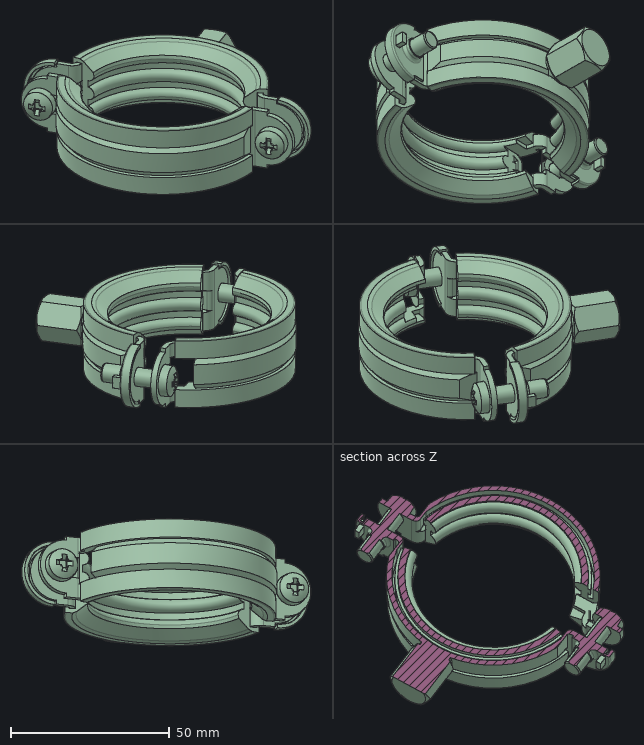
import cadquery as cq
import math


lining_half_width = 11.4
lining_outer_r = 33.5
lining_mouth_r = 29.6
lining_wall_r = 27.9
inner_bead_r = 2.2
inner_bead_pitch = 6.7
end_angle = 12.0
outer_chamfer_r = 0.5
outer_chamfer_z = 0.1
mouth_bevel_r = 1.3
mouth_bevel_z = 0.6
inner_crest_r = lining_wall_r - inner_bead_r
flank_foot_r = 26.0
flank_foot_z = 7.9
groove_half_width = 5.3
tongue_half_width = 1.4
tongue_height = 1.0

band_inner_r = 30.2
band_thickness = 1.9
band_outer_r = band_inner_r + band_thickness
band_half_width = 10.0
bead_outer_r = 33.8
bead_half_crest = 3.4
bead_end_x = 31.7
bead_root_r = band_outer_r - band_thickness / 2
flank_slope = (groove_half_width - bead_half_crest) / (bead_outer_r - band_outer_r)
bead_root_half = bead_half_crest + flank_slope * (bead_outer_r - bead_root_r)
channel_mouth_r = 28.3
channel_mouth_half = 4.8
channel_floor_r = bead_outer_r - band_thickness
channel_floor_half = 2.9
channel_end_x = 30.75
bend_channel_half = 3.4
bend_channel_r = 1.8

lug_gap_y = 3.45
lug_outer_y = lug_gap_y + band_thickness
bend_start_x = 33.05
band_end_angle = 11.5
lug_round_x = 37.0
lug_round_r = 8.7
lug_tip_x = lug_round_x + lug_round_r

window_edge_x = 32.6
window_end_y = 12.6
slot_half_width = 3.4
lining_window_half = 6.7
lining_window_end_y = 8.6

screw_x = 39.0
shank_d = 6.0
tip_d = 5.5
tip_y = 14.8
tip_chamfer_y = 0.5
head_d = 10.2
head_shoulder_d = 9.8
head_shoulder_y = 8.1
head_top_y = 9.8
recess_span = 6.9
recess_arm = 1.6
recess_core = 2.5
recess_arm_depth = 1.7
recess_core_depth = 2.4

clip_outer_x = 47.9
clip_r = 10.3
clip_x = clip_outer_x - clip_r
clip_rim = 1.15
clip_edge_r = 0.5
clip_top_y = 6.1
clip_bottom_y = 3.0
clip_plate_end_x = 33.5
clip_plate_half_width = 9.0
collar_d = 6.8
collar_flare_d = 9.3
collar_flare_y = 7.1
collar_top_y = 8.2
post_x_in = 44.5
post_x_out = 46.3
post_half_width = 1.9
post_root_half_width = 2.2
post_root_y = 4.4
post_top_y = 9.1

nut_sides = 6
nut_flats = 13.3
nut_corner_r = nut_flats / 2 / math.cos(math.pi / nut_sides)
nut_bottom_y = 34.2
nut_top_y = 49.2
nut_chamfer_y = 1.0
nut_end_r = 6.3
neck_r = 6.0

cut_size = 191.6
overlap = 1.0


def block(x0, x1, y0, y1, half_z):
    """Box between two X and two Y limits, centred on z = 0."""
    return (
        cq.Workplane("XY")
        .box(x1 - x0, y1 - y0, 2 * half_z)
        .translate(((x0 + x1) / 2, (y0 + y1) / 2, 0))
    )


def revolve_ring(outline):
    """Full turn about Z of an outline drawn with x as radius and y as height."""
    return outline.close().revolve(360, (0, 0, 0), (0, 1, 0))


def trapezoid_ring(inner_r, inner_half, outer_r, outer_half):
    return revolve_ring(
        cq.Workplane("XZ").polyline(
            [(inner_r, -inner_half), (outer_r, -outer_half), (outer_r, outer_half), (inner_r, inner_half)]
        )
    )


def on_circle(radius, angle):
    return radius * math.cos(math.radians(angle)), radius * math.sin(math.radians(angle))


def turn_about_y(outline, x):
    """Full turn about the line parallel to Y at the given x."""
    return outline.close().revolve(360, (0, 0, 0), (0, 1, 0)).translate((x, 0, 0))


def half_lining():
    """Upper half of the rubber lining, with three round beads inside and lips around the band."""
    half = lining_half_width
    bead_foot_z = inner_bead_pitch - inner_bead_r
    quarter = inner_bead_r * math.sqrt(0.5)
    shell = revolve_ring(
        cq.Workplane("XZ")
        .moveTo(inner_crest_r, -inner_bead_pitch)
        .threePointArc(
            (lining_wall_r - quarter, quarter - inner_bead_pitch), (lining_wall_r, -bead_foot_z)
        )
        .lineTo(lining_wall_r, -inner_bead_r)
        .threePointArc((inner_crest_r, 0), (lining_wall_r, inner_bead_r))
        .lineTo(lining_wall_r, bead_foot_z)
        .threePointArc(
            (lining_wall_r - quarter, inner_bead_pitch - quarter), (inner_crest_r, inner_bead_pitch)
        )
        .lineTo(flank_foot_r, flank_foot_z)
        .lineTo(lining_mouth_r, half - mouth_bevel_z)
        .lineTo(lining_mouth_r + mouth_bevel_r, half)
        .lineTo(lining_outer_r - outer_chamfer_r, half)
        .lineTo(lining_outer_r, half - outer_chamfer_z)
        .lineTo(lining_outer_r, outer_chamfer_z - half)
        .lineTo(lining_outer_r - outer_chamfer_r, -half)
        .lineTo(lining_mouth_r + mouth_bevel_r, -half)
        .lineTo(lining_mouth_r, mouth_bevel_z - half)
        .lineTo(flank_foot_r, -flank_foot_z)
    )
    groove = trapezoid_ring(band_inner_r, groove_half_width, lining_outer_r + overlap, groove_half_width)
    band_seat = trapezoid_ring(band_inner_r, band_half_width, band_outer_r, band_half_width)
    tongue = trapezoid_ring(
        band_inner_r - overlap, tongue_half_width, band_inner_r + tongue_height, tongue_half_width
    )
    ring = shell.cut(groove).cut(band_seat).union(tongue)
    far = on_circle(cut_size, end_angle)
    sector = (
        cq.Workplane("XY")
        .polyline([(0, 0), far, (far[0], cut_size), (-far[0], cut_size), (-far[0], far[1])])
        .close()
        .extrude(lining_half_width + overlap, both=True)
    )
    return ring.intersect(sector)


def bend_middle(start_x, start_y, end_x, end_y):
    """Middle point of the arc that leaves the lug along X and reaches the end of the ring."""
    run = start_x - end_x
    rise = end_y - start_y
    radius = (run ** 2 + rise ** 2) / (2 * rise)
    half_turn = math.atan2(rise, run)
    return start_x - radius * math.sin(half_turn), start_y + radius * (1 - math.cos(half_turn))


def bend_channel(side):
    """Tool that carries the hollow of the bead round the bend and out to the inner lug face."""
    sweep = bend_channel_r * math.sqrt(0.5)
    return (
        cq.Workplane("XY")
        .moveTo(side * (channel_end_x + bend_channel_r), lug_gap_y)
        .threePointArc(
            (side * (channel_end_x + bend_channel_r - sweep), lug_gap_y + bend_channel_r - sweep),
            (side * channel_end_x, lug_gap_y + bend_channel_r),
        )
        .lineTo(side * channel_mouth_r, lug_gap_y + bend_channel_r)
        .lineTo(side * channel_mouth_r, lug_gap_y)
        .close()
        .extrude(bend_channel_half, both=True)
    )


def half_band():
    """Upper half of the steel band: arc, bends and lugs, with the raised bead pressed outwards."""
    in_x, in_y = on_circle(band_inner_r, band_end_angle)
    out_x, out_y = on_circle(band_outer_r, band_end_angle)
    in_mid_x, in_mid_y = bend_middle(bend_start_x, lug_gap_y, in_x, in_y)
    out_mid_x, out_mid_y = bend_middle(bend_start_x, lug_outer_y, out_x, out_y)
    strip = (
        cq.Workplane("XY")
        .moveTo(-lug_tip_x, lug_gap_y)
        .lineTo(-bend_start_x, lug_gap_y)
        .threePointArc((-in_mid_x, in_mid_y), (-in_x, in_y))
        .threePointArc((0, band_inner_r), (in_x, in_y))
        .threePointArc((in_mid_x, in_mid_y), (bend_start_x, lug_gap_y))
        .lineTo(lug_tip_x, lug_gap_y)
        .lineTo(lug_tip_x, lug_outer_y)
        .lineTo(bend_start_x, lug_outer_y)
        .threePointArc((out_mid_x, out_mid_y), (out_x, out_y))
        .threePointArc((0, band_outer_r), (-out_x, out_y))
        .threePointArc((-out_mid_x, out_mid_y), (-bend_start_x, lug_outer_y))
        .lineTo(-lug_tip_x, lug_outer_y)
        .close()
        .extrude(band_half_width, both=True)
    )
    plan = block(-lug_round_x, lug_round_x, 0, cut_size, band_half_width)
    for side in (-1, 1):
        plan = plan.union(
            cq.Workplane("XZ").center(side * lug_round_x, 0).circle(lug_round_r).extrude(-cut_size)
        )
    strip = strip.intersect(plan)

    bead = trapezoid_ring(bead_root_r, bead_root_half, bead_outer_r, bead_half_crest)
    bead = bead.intersect(block(-bead_end_x, bead_end_x, lug_gap_y + overlap, cut_size, band_half_width))
    channel = trapezoid_ring(channel_mouth_r, channel_mouth_half, channel_floor_r, channel_floor_half)
    channel = channel.intersect(block(-channel_end_x, channel_end_x, 0, cut_size, groove_half_width))
    return strip.union(bead).cut(channel).cut(bend_channel(-1)).cut(bend_channel(1))


def screw_release():
    """Opening at the left end of the lower half: a window in the ring and a slot in the lug."""
    window = block(-window_edge_x, 0, -window_end_y, 0, groove_half_width)
    slot = block(-screw_x, -window_edge_x, -lug_outer_y, 0, slot_half_width)
    lining_window = block(-window_edge_x, 0, -lining_window_end_y, 0, lining_window_half)
    bore = cq.Workplane("XY").circle(band_inner_r).extrude(lining_window_half, both=True)
    return window.union(slot).union(lining_window.intersect(bore))


def screw(x):
    """Pan-head screw along Y with a cross recess in its head."""
    dome_r = head_shoulder_d / 2
    dome_rise = head_top_y - head_shoulder_y
    sphere_r = (dome_r ** 2 + dome_rise ** 2) / (2 * dome_rise)
    dome_mid_r = dome_r / 2
    dome_mid_y = head_top_y - sphere_r + math.sqrt(sphere_r ** 2 - dome_mid_r ** 2)
    body = turn_about_y(
        cq.Workplane("XY")
        .moveTo(0, tip_y)
        .lineTo(tip_d / 2, tip_y)
        .lineTo(shank_d / 2, tip_y - tip_chamfer_y)
        .lineTo(shank_d / 2, -lug_outer_y)
        .lineTo(head_d / 2, -lug_outer_y)
        .lineTo(dome_r, -head_shoulder_y)
        .threePointArc((dome_mid_r, -dome_mid_y), (0, -head_top_y)),
        x,
    )
    core_half = recess_core / 2
    floor_y = recess_arm_depth - head_top_y
    arm = (
        cq.Workplane("XY")
        .polyline([
            (-recess_span / 2, -head_top_y),
            (recess_span / 2, -head_top_y),
            (core_half, floor_y),
            (-core_half, floor_y),
        ])
        .close()
        .extrude(recess_arm / 2, both=True)
    )
    core = block(-core_half, core_half, -head_top_y, recess_core_depth - head_top_y, core_half)
    recess = arm.union(arm.rotate((0, 0, 0), (0, 1, 0), 90)).union(core)
    return body.cut(recess.translate((x, 0, 0)))


def clip(side):
    """Cap over the upper lug with a rounded rim, a flared collar around the screw and a post."""
    disc = (
        cq.Workplane("XZ", origin=(-clip_x, clip_bottom_y, 0))
        .circle(clip_r)
        .extrude(clip_bottom_y - clip_top_y)
        .faces(">Y")
        .edges()
        .fillet(clip_edge_r)
    )
    hollow = (
        cq.Workplane("XZ", origin=(-clip_x, clip_bottom_y, 0))
        .circle(clip_r - clip_rim)
        .extrude(clip_bottom_y - lug_outer_y)
    )
    cap = disc.cut(hollow).intersect(block(-clip_outer_x, -clip_x, 0, clip_top_y, clip_r))
    plate = block(-clip_x, -clip_plate_end_x, lug_outer_y, clip_top_y, clip_plate_half_width)
    post = block(-post_x_out, -post_x_in, lug_outer_y, post_top_y, post_half_width)
    root = block(clip_rim - clip_outer_x, -lug_tip_x, post_root_y, lug_outer_y, post_root_half_width)
    flare_run = (collar_flare_d - collar_d) / 2
    flare_rise = collar_flare_y - clip_top_y
    flare_sweep = 1 - math.sqrt(0.5)
    flare_mid = (collar_d / 2 + flare_run * flare_sweep, clip_top_y + flare_rise * flare_sweep)
    collar = turn_about_y(
        cq.Workplane("XY")
        .moveTo(0, lug_outer_y)
        .lineTo(collar_flare_d / 2, lug_outer_y)
        .lineTo(collar_flare_d / 2, clip_top_y)
        .threePointArc(flare_mid, (collar_d / 2, collar_flare_y))
        .lineTo(collar_d / 2, collar_top_y)
        .lineTo(0, collar_top_y),
        -screw_x,
    )
    left = cap.union(plate).union(post).union(root).union(collar)
    return left if side < 0 else left.mirror("YZ")


def nut():
    """Hexagon connecting nut chamfered at both ends, on a round neck that meets the band."""
    length = nut_top_y - nut_bottom_y
    prism = (
        cq.Workplane("XZ", origin=(0, nut_bottom_y, 0))
        .polygon(nut_sides, 2 * nut_corner_r)
        .extrude(-length)
    )
    envelope = turn_about_y(
        cq.Workplane("XY").polyline([
            (0, nut_bottom_y),
            (nut_end_r, nut_bottom_y),
            (nut_corner_r, nut_bottom_y + nut_chamfer_y),
            (nut_corner_r, nut_top_y - nut_chamfer_y),
            (nut_end_r, nut_top_y),
            (0, nut_top_y),
        ]),
        0,
    )
    neck = (
        cq.Workplane("XZ", origin=(0, nut_bottom_y, 0))
        .circle(neck_r)
        .extrude(nut_bottom_y - band_outer_r)
    )
    return prism.intersect(envelope).union(neck)


upper_half = half_lining().union(half_band())
lower_half = upper_half.mirror("XZ").cut(screw_release())

result = upper_half.union(lower_half).union(nut())
for side in (-1, 1):
    result = result.union(clip(side)).union(screw(side * screw_x))